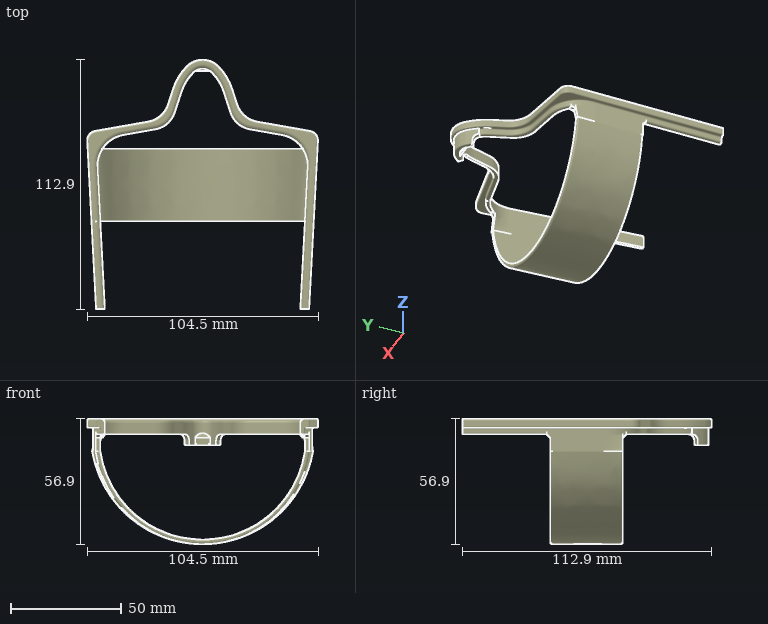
import cadquery as cq
import math

HALF_WIDTH = 104.53 / 2
FRAME_LENGTH = 112.91
NOSE_RADIUS = 10.0
NOSE_ARC_ANGLE = 45.0
NOSE_SIDE_RADIUS = 26.0
NOSE_SIDE_HEADING = -72.0
NOSE_SIDE_LENGTH = 14.2
SHOULDER_HEADING = -10.0
ARM_HEADING = -93.0
OUTER_BEND_RADIUS = 11.5
OUTER_SHOULDER_RADIUS = 4.5
INNER_BEND_RADIUS = 11.5
INNER_SHOULDER_RADIUS = 14.0

RAIL_WIDTH = 4.1
WALL_INSET = 2.0
LEDGE_BEND_RADIUS = 12.5
WALL_THICKNESS = RAIL_WIDTH - WALL_INSET
LEDGE_SHOULDER_RADIUS = INNER_SHOULDER_RADIUS + WALL_THICKNESS
FLANGE_DEPTH = 4.2
FRAME_DEPTH = 7.2
TOP_OUTER_ROUND = 1.0
TOP_INNER_ROUND = 2.1
FLANGE_LOWER_ROUND = 0.7
LEDGE_ROUND = 0.7
WALL_LOWER_ROUND = 0.9
ARM_END_ROUND = 0.5

TAB_DEPTH = 12.1
TAB_INSET = 1.4
TAB_END_HEADING = 37.5
TAB_FLARE = 3.0
TAB_LOWER_ROUND = 0.6
PAD_REACH = 5.2
PAD_TOP = 8.6
PAD_SLOPE = 2.0

BAND_BACK = -40.3
BAND_WIDTH = 32.9
BAND_FRONT = BAND_BACK - BAND_WIDTH
BAND_BOTTOM = -56.93
BAND_SPRING = -14.9
BAND_ROUND = 1.0
GUSSET = 1.6

SPAN = 2 * HALF_WIDTH
TOLERANCE = 0.01


def heading_vector(degrees):
    angle = math.radians(degrees)
    return cq.Vector(math.cos(angle), math.sin(angle))


def inward_normal(degrees):
    return heading_vector(degrees - 90)


def inset_corner(corner, heading_in, heading_out, inset):
    """Corner of two lines after both move inward by the inset."""
    normal_in = inward_normal(heading_in)
    normal_out = inward_normal(heading_out)
    return corner + (normal_in + normal_out) * (inset / (1 + normal_in.dot(normal_out)))


def rounded_corner(corner, heading_in, heading_out, radius):
    """Start, middle and end of the arc that rounds a corner."""
    half_turn = math.radians(abs(heading_out - heading_in)) / 2
    tangent = radius * math.tan(half_turn)
    bulge = radius / math.cos(half_turn) - radius
    toward_centre = (heading_vector(heading_out) - heading_vector(heading_in)).normalized()
    start = corner - heading_vector(heading_in) * tangent
    end = corner + heading_vector(heading_out) * tangent
    return start, corner + toward_centre * bulge, end


def outer_corners():
    """Nose arc centres, then the unrounded bend and shoulder, all on the +X side."""
    arc_normal = heading_vector(90 - NOSE_ARC_ANGLE)
    tip_centre = cq.Vector(0, -NOSE_RADIUS)
    side_centre = tip_centre + arc_normal * (NOSE_RADIUS - NOSE_SIDE_RADIUS)
    side_end = side_centre - inward_normal(NOSE_SIDE_HEADING) * NOSE_SIDE_RADIUS
    bend = side_end + heading_vector(NOSE_SIDE_HEADING) * NOSE_SIDE_LENGTH
    lean = math.radians(-90 - ARM_HEADING)
    half_turn = math.radians(SHOULDER_HEADING - ARM_HEADING) / 2
    rounding_loss = OUTER_SHOULDER_RADIUS * (
        math.tan(half_turn) * math.sin(lean) - (1 - math.cos(lean))
    )
    shoulder_x = HALF_WIDTH + rounding_loss
    shoulder_y = bend.y + (shoulder_x - bend.x) * math.tan(math.radians(SHOULDER_HEADING))
    return tip_centre, side_centre, bend, cq.Vector(shoulder_x, shoulder_y)


TIP_CENTRE, SIDE_CENTRE, BEND, SHOULDER = outer_corners()


def arm_x(inset, y):
    """Half width of the arm line, moved inward by the inset, at a given Y."""
    shoulder = inset_corner(SHOULDER, SHOULDER_HEADING, ARM_HEADING, inset)
    return shoulder.x + (y - shoulder.y) / math.tan(math.radians(ARM_HEADING))


def frame_body(inset, bend_radius, shoulder_radius, top, bottom):
    """Solid filling the frame outline moved inward by the inset."""
    tip_heading = 90 - NOSE_ARC_ANGLE
    side_heading = NOSE_SIDE_HEADING + 90
    side_radius = NOSE_SIDE_RADIUS - inset
    tip = TIP_CENTRE + cq.Vector(0, NOSE_RADIUS - inset)
    tip_end = TIP_CENTRE + heading_vector(tip_heading) * (NOSE_RADIUS - inset)
    side_mid = SIDE_CENTRE + heading_vector((tip_heading + side_heading) / 2) * side_radius
    side_end = SIDE_CENTRE + heading_vector(side_heading) * side_radius
    bend = inset_corner(BEND, NOSE_SIDE_HEADING, SHOULDER_HEADING, inset)
    shoulder = inset_corner(SHOULDER, SHOULDER_HEADING, ARM_HEADING, inset)
    arcs = [
        (tip_end, side_mid, side_end),
        rounded_corner(bend, NOSE_SIDE_HEADING, SHOULDER_HEADING, bend_radius),
        rounded_corner(shoulder, SHOULDER_HEADING, ARM_HEADING, shoulder_radius),
    ]
    arm_end_x = arm_x(inset, -FRAME_LENGTH)

    outline = cq.Workplane("XY", origin=(0, 0, bottom)).moveTo(-tip_end.x, tip_end.y)
    outline = outline.threePointArc((tip.x, tip.y), (tip_end.x, tip_end.y))
    for start, middle, end in arcs:
        if start is not tip_end:
            outline = outline.lineTo(start.x, start.y)
        outline = outline.threePointArc((middle.x, middle.y), (end.x, end.y))
    outline = outline.lineTo(arm_end_x, -FRAME_LENGTH).lineTo(-arm_end_x, -FRAME_LENGTH)
    for start, middle, end in reversed(arcs):
        outline = outline.lineTo(-end.x, end.y)
        outline = outline.threePointArc((-middle.x, middle.y), (-start.x, start.y))
    outline = outline.close()
    return outline.extrude(top - bottom)


def opening(top, bottom):
    return frame_body(RAIL_WIDTH, INNER_BEND_RADIUS, INNER_SHOULDER_RADIUS, top, bottom)


def ledge_body(top, bottom):
    return frame_body(WALL_INSET, LEDGE_BEND_RADIUS, LEDGE_SHOULDER_RADIUS, top, bottom)


def round_edges(body, height, reference, radius):
    """Round the edges at one height that run along the walls of a reference body."""
    walls = cq.Compound.makeCompound(reference.faces("not (<Z or >Z)").vals())
    level = cq.selectors.BoxSelector(
        (-SPAN, -FRAME_LENGTH + ARM_END_ROUND, height - TOLERANCE),
        (SPAN, SPAN, height + TOLERANCE),
    )
    chosen = []
    for edge in body.edges(level).vals():
        middle = edge.positionAt(0.5)
        if walls.distance(cq.Vertex.makeVertex(*middle.toTuple())) < TOLERANCE:
            chosen.append(edge)
    return body.newObject(chosen).fillet(radius)


def make_frame():
    flange = frame_body(0, OUTER_BEND_RADIUS, OUTER_SHOULDER_RADIUS, 0, -FLANGE_DEPTH)
    wall = ledge_body(-FLANGE_DEPTH, -FRAME_DEPTH)
    hole = opening(0, -FRAME_DEPTH)
    frame = flange.union(wall).cut(hole)
    frame = round_edges(frame, 0, hole, TOP_INNER_ROUND)
    frame = round_edges(frame, 0, flange, TOP_OUTER_ROUND)
    frame = round_edges(frame, -FLANGE_DEPTH, flange, FLANGE_LOWER_ROUND)
    frame = round_edges(frame, -FLANGE_DEPTH, wall, LEDGE_ROUND)
    frame = round_edges(frame, -FRAME_DEPTH, wall, WALL_LOWER_ROUND)
    return frame.faces("<Y").edges().fillet(ARM_END_ROUND)


def side_prism(profile):
    """Sweep a closed YZ profile across the full width."""
    return profile.extrude(HALF_WIDTH, both=True)


def wall_ring(top, bottom):
    return ledge_body(top, bottom).cut(opening(top, bottom))


def make_tab():
    """Nose wall carried down into a tab, flared into the frame and padded flat inside."""
    flare_reach = TAB_FLARE * (1 - math.sqrt(0.5))
    end_normal = heading_vector(TAB_END_HEADING)
    end_plane = cq.Plane(
        origin=SIDE_CENTRE.toTuple(),
        xDir=heading_vector(TAB_END_HEADING + 90).toTuple(),
        normal=(-end_normal).toTuple(),
    )
    half_side = (
        cq.Workplane(end_plane)
        .moveTo(NOSE_SIDE_LENGTH, FLANGE_DEPTH)
        .lineTo(-TAB_FLARE, FLANGE_DEPTH)
        .lineTo(-TAB_FLARE, FRAME_DEPTH)
        .threePointArc((-flare_reach, FRAME_DEPTH + flare_reach), (0, FRAME_DEPTH + TAB_FLARE))
        .lineTo(0, TAB_DEPTH)
        .lineTo(NOSE_SIDE_LENGTH, TAB_DEPTH)
        .close()
        .extrude(-SPAN)
    )
    half_space = cq.Workplane("XY").box(SPAN, SPAN, SPAN).translate((SPAN / 2, 0, 0))
    nose_ring = frame_body(
        TAB_INSET, LEDGE_BEND_RADIUS, LEDGE_SHOULDER_RADIUS, -FLANGE_DEPTH, -TAB_DEPTH
    ).cut(opening(-FLANGE_DEPTH, -TAB_DEPTH))
    half_tab = nose_ring.intersect(half_side).intersect(half_space)
    tab = half_tab.union(half_tab.mirror("YZ")).clean()
    tab = tab.faces("<Z").edges().fillet(TAB_LOWER_ROUND)
    pad_side = (
        cq.Workplane("YZ")
        .moveTo(-RAIL_WIDTH, PAD_SLOPE - PAD_TOP)
        .lineTo(-PAD_REACH, -PAD_TOP)
        .lineTo(-PAD_REACH, -TAB_DEPTH)
        .lineTo(-WALL_INSET, -TAB_DEPTH)
        .lineTo(-WALL_INSET, PAD_SLOPE - PAD_TOP)
        .close()
    )
    pad = opening(-FLANGE_DEPTH, -TAB_DEPTH).intersect(side_prism(pad_side))
    return tab.union(pad)


def band_loft(inset):
    """Half-round solid that narrows with the lean of the arms."""
    bottom = BAND_BOTTOM + inset
    loft = cq.Workplane("XZ", origin=(0, BAND_BACK, 0))
    for offset in (0, BAND_WIDTH):
        half = arm_x(WALL_INSET + inset, BAND_BACK - offset)
        loft = (
            loft.workplane(offset=offset)
            .moveTo(-half, BAND_SPRING)
            .threePointArc((0, bottom), (half, BAND_SPRING))
            .close()
        )
    return loft.loft(ruled=True)


def make_band():
    outside = band_loft(0)
    outside = outside.faces("<Y or >Y").edges("%CIRCLE").fillet(BAND_ROUND)
    return outside.cut(band_loft(WALL_THICKNESS))


def shoulder_arc_points(inset, radius):
    """Rounded shoulder of the wall: at the band back, midway, and where the arm starts."""
    corner = inset_corner(SHOULDER, SHOULDER_HEADING, ARM_HEADING, inset)
    end = rounded_corner(corner, SHOULDER_HEADING, ARM_HEADING, radius)[2]
    centre = end + inward_normal(ARM_HEADING) * radius

    def on_arc(y):
        return centre.x + math.sqrt(radius**2 - (y - centre.y) ** 2), y

    return on_arc(BAND_BACK), on_arc((BAND_BACK + end.y) / 2), (end.x, end.y)


def make_band_side():
    """Upright from the curved frame wall to the straight upper edge of the band."""
    outer_back, outer_mid, outer_end = shoulder_arc_points(WALL_INSET, LEDGE_SHOULDER_RADIUS)
    inner_back, inner_mid, inner_end = shoulder_arc_points(RAIL_WIDTH, INNER_SHOULDER_RADIUS)

    def on_arm(inset, y):
        return arm_x(inset, y), y

    return (
        cq.Workplane("XY", origin=(0, 0, -FRAME_DEPTH))
        .moveTo(*outer_back)
        .threePointArc(outer_mid, outer_end)
        .lineTo(*on_arm(WALL_INSET, BAND_FRONT))
        .lineTo(*on_arm(RAIL_WIDTH, BAND_FRONT))
        .lineTo(*inner_end)
        .threePointArc(inner_mid, inner_back)
        .close()
        .workplane(offset=BAND_SPRING + FRAME_DEPTH)
        .moveTo(*on_arm(WALL_INSET, BAND_BACK))
        .lineTo(*on_arm(WALL_INSET, outer_end[1]))
        .lineTo(*on_arm(WALL_INSET, BAND_FRONT))
        .lineTo(*on_arm(RAIL_WIDTH, BAND_FRONT))
        .lineTo(*on_arm(RAIL_WIDTH, inner_end[1]))
        .lineTo(*on_arm(RAIL_WIDTH, BAND_BACK))
        .close()
        .loft(ruled=True)
    )


def make_gussets():
    """Square wall above the band, with triangular braces in front of and behind it."""
    low = -FRAME_DEPTH - GUSSET
    brace_side = (
        cq.Workplane("YZ")
        .moveTo(BAND_BACK + GUSSET, -FRAME_DEPTH)
        .lineTo(BAND_BACK, low)
        .lineTo(BAND_BACK, -FRAME_DEPTH)
        .lineTo(BAND_FRONT, -FRAME_DEPTH)
        .lineTo(BAND_FRONT, low)
        .lineTo(BAND_FRONT - GUSSET, -FRAME_DEPTH)
        .lineTo(BAND_FRONT - GUSSET, -FLANGE_DEPTH)
        .lineTo(BAND_BACK + GUSSET, -FLANGE_DEPTH)
        .close()
    )
    return wall_ring(-FLANGE_DEPTH, low).intersect(side_prism(brace_side))


right_side = make_band_side()
left_side = right_side.mirror("YZ")
band = make_band().union(right_side).union(left_side)
result = make_frame().union(make_tab()).union(make_gussets()).union(band)